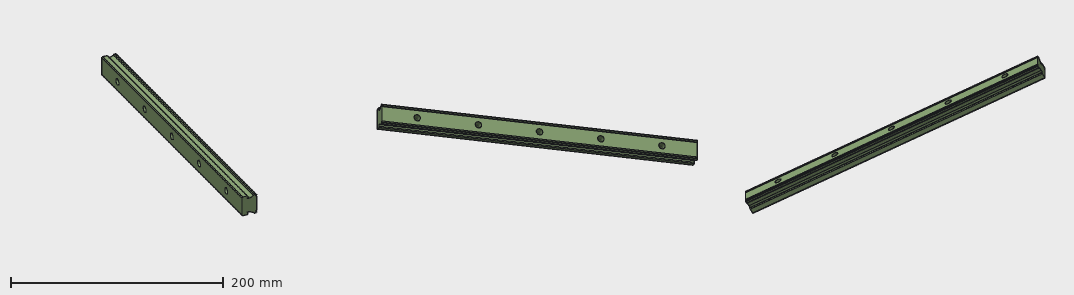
import cadquery as cq

length = 310.0
depth = 15.5
height = 20.0

front_chamfer = 1.0
front_land_end_y = -2.2
front_lip_bevel = 1.0
front_lip_undercut = 0.5

groove_depth = 2.8
groove_floor_rear_y = 0.3
groove_slope_top_y = 4.3
groove_slope_rise = 2.0

rear_lip_land_start_y = 5.3
rear_lip_bevel = 1.0

notch_depth = 1.0
notch_half_width = 1.0

hole_count = 5
hole_pitch = 60.0
first_hole_inset = (length - (hole_count - 1) * hole_pitch) / 2
hole_diameter = 6.2


def make_body():
    """Extrude the grooved profile along X, symmetric about mid height."""
    front = -depth / 2
    rear = depth / 2
    top = height / 2
    floor = top - groove_depth
    front_lip_y = front_land_end_y + front_lip_bevel
    rear_lip_z = top - rear_lip_bevel
    upper = [
        (front, top - front_chamfer),
        (front + front_chamfer, top),
        (front_land_end_y, top),
        (front_lip_y, top - front_lip_bevel),
        (front_lip_y - front_lip_undercut, floor),
        (groove_floor_rear_y, floor),
        (groove_slope_top_y, floor + groove_slope_rise),
        (rear_lip_land_start_y, top),
        (rear - rear_lip_bevel, top),
        (rear, rear_lip_z),
        (rear - notch_depth, rear_lip_z - notch_half_width),
        (rear, rear_lip_z - 2 * notch_half_width),
    ]
    lower = [(y, -z) for y, z in reversed(upper)]
    return cq.Workplane("YZ").polyline(upper + lower).close().extrude(length / 2, both=True)


def make_holes():
    """A row of plain holes running through the rail along Y."""
    first_x = -length / 2 + first_hole_inset
    centres = [(first_x + i * hole_pitch, 0) for i in range(hole_count)]
    return cq.Workplane("XZ").pushPoints(centres).circle(hole_diameter / 2).extrude(depth, both=True)


result = make_body().cut(make_holes())